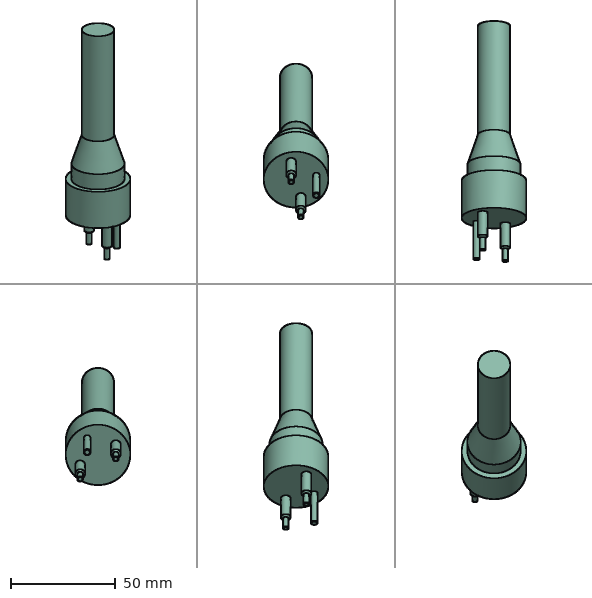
import cadquery as cq

total_height = 116.0
base_bottom = 19.0
base_top = 38.0
collar_top = 46.0
cone_top = 61.0

base_diameter = 31.0
collar_diameter = 25.5
shaft_diameter = 15.5

pin_circle_radius = 10.0
thick_pin_diameter = 4.8
pin_tip_diameter = 2.8
thin_pin_diameter = 3.2
thick_pin_bottom = 6.1
shoulder_chamfer = 0.9
tip_chamfer = 0.3


def revolved(profile):
    """Revolve (radius, height) points about the vertical axis."""
    return cq.Workplane("XZ").polyline(profile).close().revolve(360, (0, 0), (0, 1))


def make_body():
    """Base, collar, tapered neck and shaft, all coaxial."""
    return revolved([
        (0, base_bottom),
        (base_diameter / 2, base_bottom),
        (base_diameter / 2, base_top),
        (collar_diameter / 2, base_top),
        (collar_diameter / 2, collar_top),
        (shaft_diameter / 2, cone_top),
        (shaft_diameter / 2, total_height),
        (0, total_height),
    ])


def make_cylinder(diameter, bottom, top, chamfer):
    """Vertical cylinder with a chamfered lower edge."""
    cylinder = cq.Workplane("XY", origin=(0, 0, bottom)).circle(diameter / 2).extrude(top - bottom)
    return cylinder.faces("<Z").chamfer(chamfer)


def make_stepped_pin():
    """Thick pin ending in a narrower tip."""
    sleeve = make_cylinder(thick_pin_diameter, thick_pin_bottom, base_bottom, shoulder_chamfer)
    tip = make_cylinder(pin_tip_diameter, 0, base_bottom, tip_chamfer)
    return sleeve.union(tip)


result = make_body()
for side in (-1, 1):
    result = result.union(make_stepped_pin().translate((side * pin_circle_radius, 0, 0)))

thin_pin = make_cylinder(thin_pin_diameter, 0, base_bottom, tip_chamfer)
result = result.union(thin_pin.translate((0, pin_circle_radius, 0)))